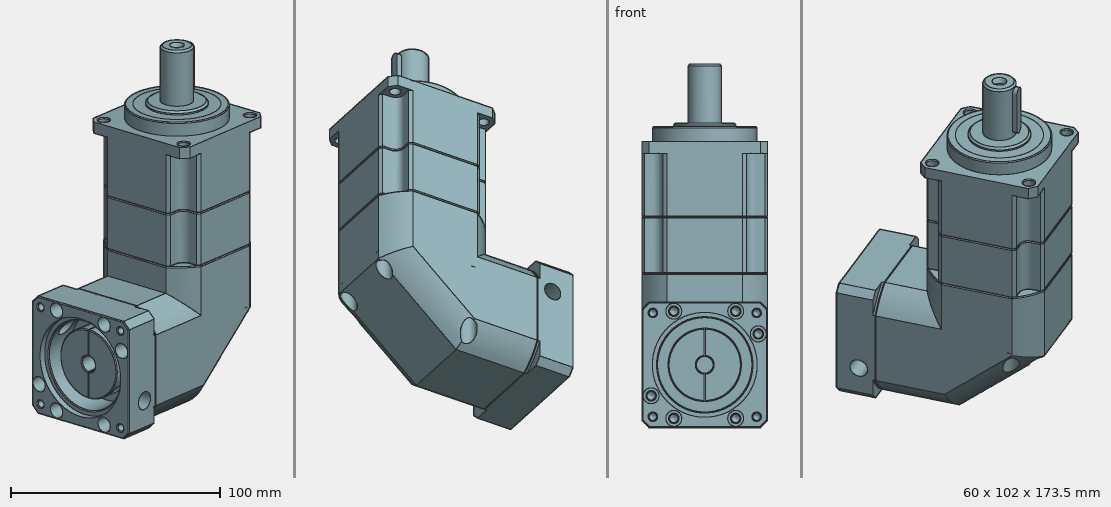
import cadquery as cq
import math


body_width = 60.0
half_width = body_width / 2
corner_radius = 35.0
corner_half_flat = math.sqrt(corner_radius**2 - half_width**2)
flange_chamfer = 3.5
edge_chamfer = 0.5
shaft_chamfer = 1.0
bolt_offset = corner_radius / math.sqrt(2)

shaft_top = 143.5
seal_top = 115.25
pilot_top = 113.5
flange_top = 106.5
flange_bottom = 100.75
ring_top = 70.5
elbow_top = 43.5

adapter_back = -52.0
adapter_front = -72.0

pilot_diameter = 50.0
carrier_diameter = 42.0
seal_diameter = 30.0
seal_height = seal_top - pilot_top
shaft_diameter = 16.0
flange_hole_diameter = 5.5
notch_radius = 4.5
notch_wall = 19.9

key_width = 5.0
key_height_above_axis = 10.0
key_length = 25.0
key_end_gap = 1.5
centre_hole_diameter = 4.2
centre_hole_depth = 12.0
countersink_diameter = 7.0
countersink_angle = 60.0

diagonal_setback_y = 43.5
diagonal_setback_z = 37.0
diagonal_edge_width = 11.0
elbow_screw_circle = 30.1
elbow_pocket_diameter = 8.0
elbow_pocket_angle = 32.0
elbow_seat_level = 12.0
elbow_screw_angles = (
    elbow_pocket_angle,
    90 - elbow_pocket_angle,
    90 + elbow_pocket_angle,
    180 + elbow_pocket_angle,
)

adapter_lip = 1.0
recess_diameter = 50.0
recess_depth = 3.5
adapter_bore_diameter = 45.0
adapter_screw_circle = 29.5
screw_head_diameter = 7.6
adapter_screw_angles = (30, 60, 120, 210, 240, 300)
adapter_seat_depth = 10.0
screw_hole_diameter = 4.0
screw_hole_depth = 6.0
motor_tap_diameter = 3.5
motor_tap_depth = 10.0
drill_tip_angle = 118.0

hub_diameter = 35.0
hub_face_depth = 6.0
hub_bore_diameter = 8.0
hub_slot_width = 0.5
hub_slot_depth = 10.0
clamp_y = -60.25
clamp_z = 13.0
access_diameter = 9.0
clamp_head_diameter = 8.0
clamp_hole_diameter = 4.5
clamp_seat_x = 7.0


def rounded_section(plane, length):
    """Square prism with its corners cut by the corner cylinder."""
    square = cq.Workplane(plane).rect(body_width, body_width).extrude(length)
    return square.intersect(cq.Workplane(plane).circle(corner_radius).extrude(length))


def chamfered_section(plane, length):
    """Square prism with small flat corners."""
    square = cq.Workplane(plane).rect(body_width, body_width).extrude(length)
    long_edges = cq.selectors.ParallelDirSelector(plane.zDir)
    return square.edges(long_edges).chamfer(flange_chamfer)


def level(z):
    """Horizontal plane at height z, facing up."""
    return cq.Plane(origin=(0, 0, z), xDir=(1, 0, 0), normal=(0, 0, 1))


def facing_motor(y):
    """Plane at y facing -Y, with Z as its second axis."""
    return cq.Plane(origin=(0, y, 0), xDir=(1, 0, 0), normal=(0, -1, 0))


def cylinder(plane, diameter, length, points=((0, 0),)):
    return cq.Workplane(plane).pushPoints(points).circle(diameter / 2).extrude(length)


def cone(plane, base_diameter, tip_diameter, height, points):
    """Cones standing on the plane and going against its normal."""
    into = plane.zDir * -1
    cones = [
        cq.Solid.makeCone(base_diameter / 2, tip_diameter / 2, height, plane.toWorldCoords(point), into)
        for point in points
    ]
    return cq.Workplane(plane).newObject(cones).combine()


def mouth_chamfer(plane, diameter, points):
    """Cones that break the edges of holes opening on the plane."""
    return cone(plane, diameter + 2 * edge_chamfer, diameter, edge_chamfer, points)


def drilled(plane, diameter, depth, points):
    """Blind holes with a chamfered mouth and a conical tip, going against the plane's normal."""
    tip_height = diameter / 2 / math.tan(math.radians(drill_tip_angle / 2))
    bottom = cq.Plane(origin=plane.toWorldCoords((0, 0, -depth)), xDir=plane.xDir, normal=plane.zDir)
    holes = cylinder(bottom, diameter, depth, points)
    holes = holes.union(cone(bottom, diameter, 0, tip_height, points))
    return holes.union(mouth_chamfer(plane, diameter, points))


def on_circle(radius, angles):
    return [
        (radius * math.cos(math.radians(angle)), radius * math.sin(math.radians(angle)))
        for angle in angles
    ]


corner_points = [(sx * bolt_offset, sy * bolt_offset) for sx in (-1, 1) for sy in (-1, 1)]


def corner_notches(bottom, top):
    """Square notches with a rounded inner corner that clear the flange screws."""
    size = 2 * (half_width - notch_wall)
    points = [(sx * half_width, sy * half_width) for sx in (-1, 1) for sy in (-1, 1)]
    blocks = cq.Workplane(level(bottom)).pushPoints(points).rect(size, size).extrude(top - bottom)
    return blocks.edges("|Z").fillet(notch_radius)


def make_output_housing():
    case = rounded_section(level(ring_top), flange_bottom - ring_top)
    case = case.cut(corner_notches(ring_top, flange_bottom))
    case = case.faces("<Z").chamfer(edge_chamfer)
    flange = chamfered_section(level(flange_bottom), flange_top - flange_bottom)
    pilot = cylinder(level(flange_top), pilot_diameter, pilot_top - flange_top)
    pilot = pilot.faces(">Z").chamfer(edge_chamfer)
    holes = cylinder(level(flange_bottom), flange_hole_diameter, flange_top - flange_bottom, corner_points)
    mouths = mouth_chamfer(level(flange_top), flange_hole_diameter, corner_points)
    carrier_seat = cylinder(level(flange_top), carrier_diameter, pilot_top - flange_top)
    return case.union(flange).union(pilot).cut(holes).cut(mouths).cut(carrier_seat)


def make_output_shaft():
    carrier = cylinder(level(flange_top), carrier_diameter, pilot_top - flange_top)
    shoulder = cylinder(level(pilot_top), seal_diameter, seal_height)
    shoulder = shoulder.faces(">Z").chamfer(shaft_chamfer)
    shaft = cylinder(level(seal_top), shaft_diameter, shaft_top - seal_top)
    shaft = shaft.faces(">Z").chamfer(shaft_chamfer)
    key_middle = shaft_top - key_end_gap - key_length / 2
    key_plane = cq.Plane(origin=(0, 0, key_middle), xDir=(0, 0, 1), normal=(0, 1, 0))
    key = cq.Workplane(key_plane).slot2D(key_length, key_width).extrude(key_height_above_axis)
    shaft = carrier.union(shoulder).union(shaft).union(key)
    top = level(shaft_top)
    sink_slope = math.tan(math.radians(countersink_angle / 2))
    sink_depth = (countersink_diameter - centre_hole_diameter) / 2 / sink_slope
    shaft = shaft.cut(drilled(top, centre_hole_diameter, centre_hole_depth, [(0, 0)]))
    return shaft.cut(cone(top, countersink_diameter, centre_hole_diameter, sink_depth, [(0, 0)]))


def make_ring_case():
    case = rounded_section(level(elbow_top), ring_top - elbow_top)
    case = case.cut(corner_notches(elbow_top, ring_top))
    return case.faces("<Z or >Z").chamfer(edge_chamfer)


def mitre_half(corner):
    """Triangular prism on one side of the mitre plane, out to the given (y, z) corner."""
    far = 4 * half_width
    outline = cq.Workplane("YZ").polyline([(-far, far), (far, -far), corner]).close()
    return outline.extrude(half_width, both=True)


def diagonal_envelope():
    """Long prism along the diagonal; its outer face is as wide as the flats of the arms, with round edges."""
    length = 8 * half_width
    start = (0, half_width, diagonal_setback_z - half_width)
    slope = math.hypot(diagonal_setback_y, diagonal_setback_z)
    along = (0, -diagonal_setback_y / slope, -diagonal_setback_z / slope)
    outward = (0, diagonal_setback_z / slope, -diagonal_setback_y / slope)
    width_gap = half_width**2 - corner_half_flat**2
    axis_depth = (width_gap + diagonal_edge_width**2) / (2 * diagonal_edge_width)
    edge_radius = math.hypot(axis_depth, corner_half_flat)
    centre = tuple(s - axis_depth * o for s, o in zip(start, outward))
    plane = cq.Plane(origin=centre, xDir=outward, normal=along)
    edge_cylinder = cq.Workplane(plane).circle(edge_radius).extrude(length, both=True)
    outer_part = cq.Workplane(plane).rect(2 * axis_depth, body_width).extrude(length, both=True)
    inner_part = cq.Workplane(plane).center(-length / 2, 0).rect(length, body_width)
    return edge_cylinder.intersect(outer_part).union(inner_part.extrude(length, both=True))


def make_elbow():
    far = 4 * half_width
    upright = rounded_section(level(-half_width), elbow_top + half_width)
    upright = upright.faces(">Z").chamfer(edge_chamfer).intersect(mitre_half((far, far)))
    level_arm = rounded_section(facing_motor(half_width), half_width - adapter_back)
    level_arm = level_arm.faces("<Y").chamfer(edge_chamfer).intersect(mitre_half((-far, -far)))
    elbow = upright.union(level_arm).intersect(diagonal_envelope())
    pocket_height = elbow_seat_level + half_width
    pocket_points = on_circle(elbow_screw_circle, elbow_screw_angles)
    pockets = cylinder(level(-half_width), elbow_pocket_diameter, pocket_height, pocket_points)
    return elbow.cut(pockets)


def make_adapter():
    lip = rounded_section(facing_motor(adapter_back), adapter_lip)
    block_back = adapter_back - adapter_lip
    block = chamfered_section(facing_motor(block_back), block_back - adapter_front)
    block = block.faces("<Y").chamfer(edge_chamfer)
    adapter = lip.union(block)
    thickness = adapter_back - adapter_front
    recess_floor = adapter_front + recess_depth
    adapter = adapter.cut(cylinder(facing_motor(adapter_back), adapter_bore_diameter, thickness))
    adapter = adapter.cut(cylinder(facing_motor(recess_floor), recess_diameter, recess_depth))
    adapter = adapter.cut(mouth_chamfer(facing_motor(recess_floor), adapter_bore_diameter, [(0, 0)]))
    screw_points = on_circle(adapter_screw_circle, adapter_screw_angles)
    seat = facing_motor(adapter_front + adapter_seat_depth)
    adapter = adapter.cut(cylinder(seat, screw_head_diameter, adapter_seat_depth, screw_points))
    adapter = adapter.cut(drilled(seat, screw_hole_diameter, screw_hole_depth, screw_points))
    face = facing_motor(adapter_front)
    adapter = adapter.cut(drilled(face, motor_tap_diameter, motor_tap_depth, corner_points))
    for side in (-1, 1):
        adapter = adapter.cut(cylinder(clamp_plane(side, 0), access_diameter, half_width))
    return adapter


def clamp_plane(side, distance):
    """Plane across a clamp screw axis, at a distance from the YZ plane on the side of its head."""
    return cq.Plane(
        origin=(side * distance, clamp_y, -side * clamp_z), xDir=(0, 1, 0), normal=(side, 0, 0)
    )


def make_clamp_hub():
    hub_length = adapter_back - adapter_front - hub_face_depth
    hub_face = adapter_front + hub_face_depth
    hub = cylinder(facing_motor(adapter_back), hub_diameter, hub_length)
    hub = hub.faces("<Y").chamfer(edge_chamfer)
    hub = hub.cut(cylinder(facing_motor(adapter_back), hub_bore_diameter, hub_length))
    hub = hub.cut(mouth_chamfer(facing_motor(hub_face), hub_bore_diameter, [(0, 0)]))
    slot_floor = facing_motor(hub_face + hub_slot_depth)
    slot = cq.Workplane(slot_floor).rect(hub_slot_width, hub_diameter).extrude(hub_slot_depth)
    hub = hub.cut(slot)
    for side in (-1, 1):
        hub = hub.cut(cylinder(clamp_plane(side, clamp_seat_x), clamp_head_diameter, half_width))
        hub = hub.cut(cylinder(clamp_plane(side, -half_width), clamp_hole_diameter, body_width))
        hub = hub.cut(mouth_chamfer(clamp_plane(side, clamp_seat_x), clamp_hole_diameter, [(0, 0)]))
    return hub


output_housing = make_output_housing()
output_shaft = make_output_shaft()
ring_case = make_ring_case()
elbow = make_elbow()
adapter = make_adapter()
clamp_hub = make_clamp_hub()

result = cq.Compound.makeCompound(
    [
        output_housing.val(),
        output_shaft.val(),
        ring_case.val(),
        elbow.val(),
        adapter.val(),
        clamp_hub.val(),
    ]
)